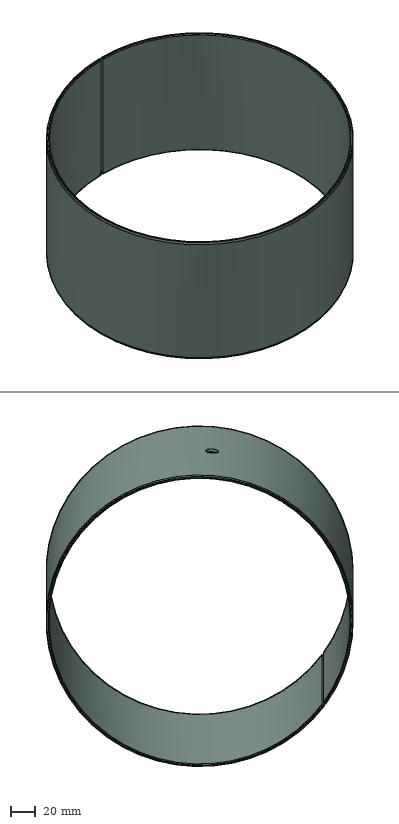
import cadquery as cq

OUTER_DIAMETER = 250.0
HEIGHT = 130.0
WALL = 2.5
OUTER_BEVEL_DEPTH = 0.655
OUTER_BEVEL_HEIGHT = 1.8
INNER_CHAMFER = 0.8
SLIT_ANGLE = 1.0
WALL_START_ANGLE = 180.0
HOLE_DIAMETER = 10.0
HOLE_TO_SLIT_ANGLE = 120.0

OUTER_RADIUS = OUTER_DIAMETER / 2
INNER_RADIUS = OUTER_RADIUS - WALL
HALF_HEIGHT = HEIGHT / 2
WALL_SWEEP = 360.0 - SLIT_ANGLE
HOLE_ANGLE = WALL_START_ANGLE - SLIT_ANGLE - HOLE_TO_SLIT_ANGLE

ORIGIN = (0, 0, 0)
Z_DIRECTION = (0, 0, 1)


def make_split_ring():
    """Wall section with four bevelled corners, swept round Z up to the slit."""
    rim_outer_radius = OUTER_RADIUS - OUTER_BEVEL_DEPTH
    rim_inner_radius = INNER_RADIUS + INNER_CHAMFER
    outer_face_end = HALF_HEIGHT - OUTER_BEVEL_HEIGHT
    inner_face_end = HALF_HEIGHT - INNER_CHAMFER
    section = cq.Workplane("XZ").polyline(
        [
            (rim_inner_radius, -HALF_HEIGHT),
            (rim_outer_radius, -HALF_HEIGHT),
            (OUTER_RADIUS, -outer_face_end),
            (OUTER_RADIUS, outer_face_end),
            (rim_outer_radius, HALF_HEIGHT),
            (rim_inner_radius, HALF_HEIGHT),
            (INNER_RADIUS, inner_face_end),
            (INNER_RADIUS, -inner_face_end),
        ]
    ).close()
    ring = section.revolve(WALL_SWEEP, (0, 0, 0), (0, 1, 0))
    return ring.rotate(ORIGIN, Z_DIRECTION, WALL_START_ANGLE)


def make_hole_cutter():
    """Radial cylinder through one side of the wall at mid-height."""
    cutter = cq.Workplane("YZ").circle(HOLE_DIAMETER / 2).extrude(OUTER_DIAMETER)
    return cutter.rotate(ORIGIN, Z_DIRECTION, HOLE_ANGLE)


result = make_split_ring().cut(make_hole_cutter())